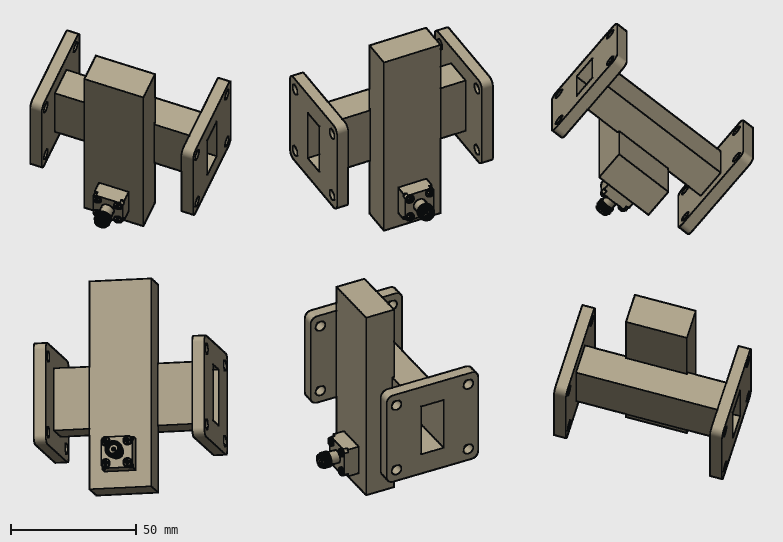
import cadquery as cq
import math

overall_length = 70.0
overall_depth = 53.2
guide_depth = 12.7
guide_height = 25.4
bore_depth = 10.1
bore_height = 22.9
main_z = -2.5

flange_size = 41.4
flange_thickness = 5.0
flange_corner_radius = 3.0
bolt_diameter = 4.3
bolt_spacing_y = 32.5
bolt_spacing_z = 30.9

arm_height = 85.0
arm_width = guide_height
arm_depth = guide_depth
arm_front_y = -18.2

connector_z = -29.2
block_size = 12.75
block_depth = 4.7
plate_depth = 1.8
plate_corner_chamfer = 1.3
plate_front_y = arm_front_y - block_depth - plate_depth

barrel_end_y = flange_size / 2 - overall_depth
barrel_length = plate_front_y - barrel_end_y
barrel_diameter = 5.35
barrel_bore_diameter = 4.5
barrel_bore_depth = 2.0
barrel_rim_chamfer = 0.2
inner_bore_diameter = 4.1
inner_bore_depth = 0.3
thread_diameter = 6.4
thread_start = 3.8
thread_ridges = 4
thread_pitch = 0.8
thread_crest = 0.2
contact_diameter = 1.3
contact_length = 0.3
contact_hole_diameter = 0.9
contact_hole_depth = 1.7

screw_diameter = 3.4
screw_spacing = 8.9
screw_rim_height = 0.6
screw_height = 1.45
cross_floor_length = 1.2
cross_mouth_length = 3.4
cross_width = 0.7
cross_depth = 0.85


def facing_front(y):
    """Sketch plane at y on the connector axis; local y is Z and extrusion runs toward -Y."""
    return cq.Workplane("XZ", origin=(0, y, connector_z))


def make_flange(start_x):
    return (
        cq.Workplane("YZ", origin=(start_x, 0, main_z))
        .rect(flange_size, flange_size)
        .extrude(flange_thickness)
        .edges("|X")
        .fillet(flange_corner_radius)
        .faces(">X")
        .workplane(origin=(0, 0, main_z))
        .rect(bolt_spacing_y, bolt_spacing_z, forConstruction=True)
        .vertices()
        .hole(bolt_diameter)
    )


def make_waveguide():
    guide = cq.Workplane("XY").box(overall_length, guide_depth, guide_height).translate((0, 0, main_z))
    arm = cq.Workplane("XY").box(arm_width, arm_depth, arm_height)
    arm = arm.translate((0, arm_front_y + arm_depth / 2, 0))
    bore = cq.Workplane("XY").box(overall_length, bore_depth, bore_height).translate((0, 0, main_z))
    body = guide.union(arm)
    for start_x in (-overall_length / 2, overall_length / 2 - flange_thickness):
        body = body.union(make_flange(start_x))
    return body.cut(bore)


def make_mount():
    block = facing_front(arm_front_y).rect(block_size, block_size).extrude(block_depth)
    plate = (
        facing_front(plate_front_y + plate_depth)
        .rect(block_size, block_size)
        .extrude(plate_depth)
        .edges("|Y")
        .chamfer(plate_corner_chamfer)
    )
    return block.union(plate)


def make_barrel():
    """Threaded tube with a hollow centre contact, revolved about the connector axis."""
    core_radius = barrel_diameter / 2
    crest_radius = thread_diameter / 2
    flank = (thread_pitch - thread_crest) / 2
    outline = cq.Workplane("XY").moveTo(0, 0).lineTo(core_radius, 0).lineTo(core_radius, -thread_start)
    for ridge in range(thread_ridges):
        root = thread_start + ridge * thread_pitch
        outline = (
            outline.lineTo(crest_radius, -root - flank)
            .lineTo(crest_radius, -root - flank - thread_crest)
            .lineTo(core_radius, -root - thread_pitch)
        )
    outline = (
        outline.lineTo(core_radius, barrel_rim_chamfer - barrel_length)
        .lineTo(core_radius - barrel_rim_chamfer, -barrel_length)
        .lineTo(0, -barrel_length)
        .close()
    )
    barrel = outline.revolve(360, (0, 0), (0, 1)).translate((0, plate_front_y, connector_z))
    step_y = barrel_end_y + barrel_bore_depth
    insulator_y = step_y + inner_bore_depth
    bores = (
        (step_y, barrel_bore_diameter, barrel_bore_depth),
        (insulator_y, inner_bore_diameter, inner_bore_depth),
    )
    for floor_y, diameter, depth in bores:
        barrel = barrel.cut(facing_front(floor_y).circle(diameter / 2).extrude(depth))
    contact = facing_front(insulator_y).circle(contact_diameter / 2).extrude(contact_length)
    contact_hole = (
        facing_front(insulator_y - contact_length + contact_hole_depth)
        .circle(contact_hole_diameter / 2)
        .extrude(contact_hole_depth)
    )
    return barrel.union(contact).cut(contact_hole)


def make_screw_head():
    """Domed head standing on the XZ plane and rising toward -Y, with a cross recess of sloping ends."""
    radius = screw_diameter / 2
    dome_rise = screw_height - screw_rim_height
    dome_radius = (radius**2 + dome_rise**2) / (2 * dome_rise)
    half_angle = math.asin(radius / dome_radius) / 2
    mid_x = dome_radius * math.sin(half_angle)
    mid_y = -screw_height + dome_radius * (1 - math.cos(half_angle))
    head = (
        cq.Workplane("XY")
        .lineTo(radius, 0)
        .lineTo(radius, -screw_rim_height)
        .threePointArc((mid_x, mid_y), (0, -screw_height))
        .close()
        .revolve(360, (0, 0), (0, 1))
    )
    floor_y = cross_depth - screw_height
    arm = (
        cq.Workplane("XY")
        .moveTo(-cross_floor_length / 2, floor_y)
        .lineTo(cross_floor_length / 2, floor_y)
        .lineTo(cross_mouth_length / 2, -screw_height)
        .lineTo(-cross_mouth_length / 2, -screw_height)
        .close()
        .extrude(cross_width / 2, both=True)
    )
    crossing_arm = arm.rotate((0, 0, 0), (0, 1, 0), 90)
    return head.cut(arm).cut(crossing_arm)


result = make_waveguide().union(make_mount()).union(make_barrel())
screw_head = make_screw_head()
for side_x in (-1, 1):
    for side_z in (-1, 1):
        place = (side_x * screw_spacing / 2, plate_front_y, connector_z + side_z * screw_spacing / 2)
        result = result.union(screw_head.translate(place))